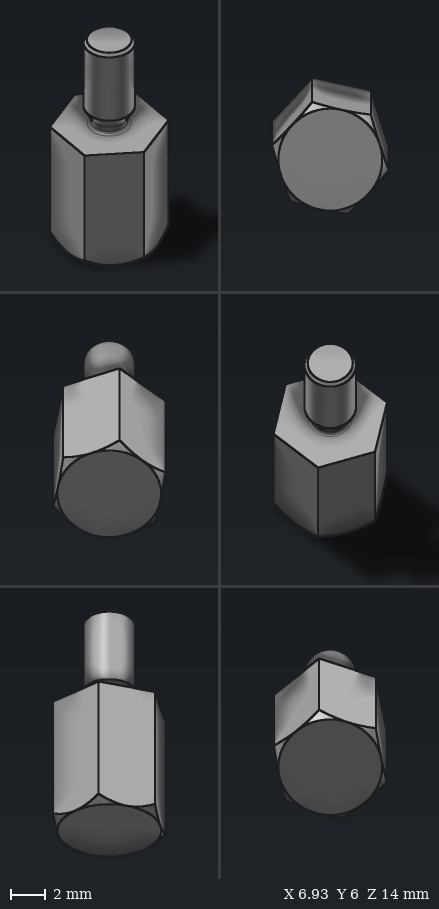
import cadquery as cq
import math

total_height = 14.0
across_flats = 6.0
body_height = 8.0
stud_diameter = 3.0
neck_diameter = 2.13
neck_fillet = 0.2
tip_chamfer = 0.2
taper_top = 9.27
taper_angle = math.radians(30)
corner_bevel_height = 0.46

across_corners = across_flats / math.cos(math.radians(30))
corner_radius = across_corners / 2
bottom_radius = across_flats / 2
stud_radius = stud_diameter / 2
neck_radius = neck_diameter / 2


def hex_body():
    """Hexagonal prism with its bottom corners bevelled by a cone."""
    prism = cq.Workplane("XY").polygon(6, across_corners).extrude(body_height)
    envelope = (
        cq.Workplane("XZ")
        .moveTo(0, 0)
        .lineTo(bottom_radius, 0)
        .lineTo(corner_radius, corner_bevel_height)
        .lineTo(corner_radius, body_height)
        .lineTo(0, body_height)
        .close()
        .revolve(360, (0, 0), (0, 1))
    )
    return prism.intersect(envelope)


def stud():
    """Round stud with a filleted root, undercut neck, taper and chamfered tip."""
    fillet_top = body_height + neck_fillet
    fillet_center_radius = neck_radius + neck_fillet
    arc_offset = neck_fillet * math.sqrt(0.5)
    taper_start_radius = neck_radius + neck_fillet * (1 - math.cos(taper_angle))
    taper_start = taper_top - (stud_radius - taper_start_radius) / math.tan(taper_angle)
    neck_top = taper_start - neck_fillet * math.sin(taper_angle)
    half_angle = taper_angle / 2
    return (
        cq.Workplane("XZ")
        .moveTo(0, body_height)
        .lineTo(fillet_center_radius, body_height)
        .threePointArc(
            (fillet_center_radius - arc_offset, fillet_top - arc_offset),
            (neck_radius, fillet_top),
        )
        .lineTo(neck_radius, neck_top)
        .threePointArc(
            (
                fillet_center_radius - neck_fillet * math.cos(half_angle),
                neck_top + neck_fillet * math.sin(half_angle),
            ),
            (taper_start_radius, taper_start),
        )
        .lineTo(stud_radius, taper_top)
        .lineTo(stud_radius, total_height - tip_chamfer)
        .lineTo(stud_radius - tip_chamfer, total_height)
        .lineTo(0, total_height)
        .close()
        .revolve(360, (0, 0), (0, 1))
    )


result = hex_body().union(stud())